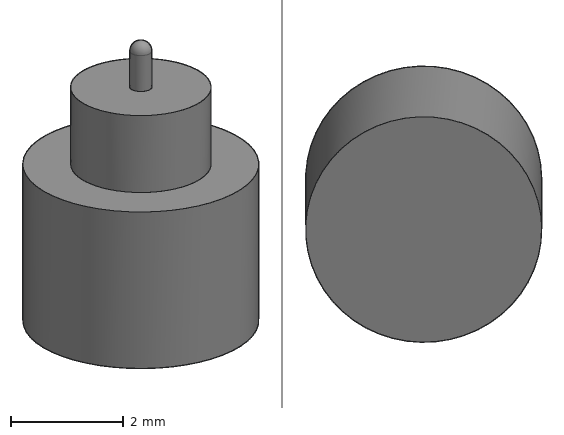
import cadquery as cq

total_height = 5.45
base_diameter = 4.2
base_height = 3.05
collar_diameter = 2.5
collar_height = 1.5
pin_diameter = 0.4

collar_top = base_height + collar_height
pin_radius = pin_diameter / 2
dome_start = total_height - pin_radius


def cylinder(diameter, bottom, top):
    """Upright cylinder on the Z axis between two heights."""
    return cq.Workplane("XY").workplane(offset=bottom).circle(diameter / 2).extrude(top - bottom)


base = cylinder(base_diameter, 0, base_height)
collar = cylinder(collar_diameter, base_height, collar_top)

pin_shank = cylinder(pin_diameter, collar_top, dome_start)
pin_tip = cq.Workplane("XY").sphere(pin_radius).translate((0, 0, dome_start))

result = base.union(collar).union(pin_shank).union(pin_tip)